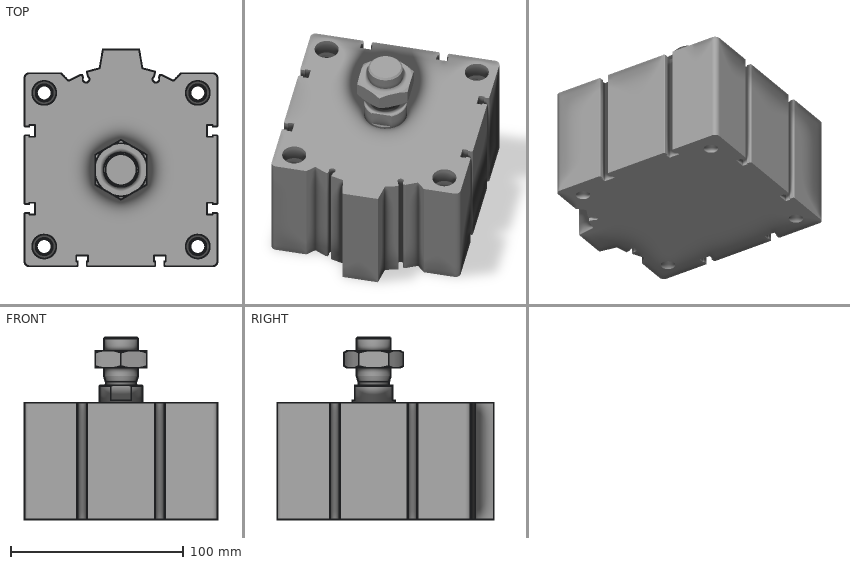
import cadquery as cq
import math

SIDE = 112.2
HALF = SIDE / 2
BLOCK_HEIGHT = 68.0
CORNER_RADIUS = 3.0
OVERALL_DEPTH = 125.9

RIDGE_TIP = (10.6, OVERALL_DEPTH - HALF)
RIDGE_ROOT = (12.5, 58.9)
SHOULDER_END = (20.0, 56.9)
LEDGE_START = (22.3, 55.0)
LEDGE_END = (23.7, 55.0)
NOTCH_BOTTOM = (30.5, 51.6)
NOTCH_TOP = (34.9, HALF)

SENSOR_CENTER = (20.3, 52.5)
SENSOR_DIAMETER = 3.8
SENSOR_MOUTH = 2.9
SENSOR_MOUTH_LENGTH = 6.3
SENSOR_TILT = 15.0

SLOT_OFFSET = 22.5
SLOT_MOUTH = 5.0
SLOT_MOUTH_CHAMFER = 0.5
SLOT_LIP = 2.9
SLOT_WIDTH = 6.7
SLOT_DEPTH = 6.2

HOLE_OFFSET = 44.6
HOLE_DIAMETER = 8.4
COUNTERBORE_DIAMETER = 14.0
COUNTERBORE_DEPTH = 9.5
COUNTERSINK_DIAMETER = 10.1

ROD_DIAMETER = 25.0
ROD_LENGTH = 106.0 - BLOCK_HEIGHT
ROD_SHOULDER = 10.0
ROD_SHOULDER_CHAMFER = 0.4
FLATS_WIDTH = 22.0
FLATS_START = 1.4
GROOVE_DIAMETER = 17.9
GROOVE_FILLET = 0.6
GROOVE_TOP = 12.2
TAPER_DIAMETER = 18.4
TAPER_START = 12.7
TAPER_END = 15.5
THREAD_DIAMETER = 20.0
THREAD_CHAMFER = 1.0

NUT_ACROSS_FLATS = 30.0
NUT_START = 20.1
NUT_THICKNESS = 10.0
NUT_FACE_DIAMETER = 30.7
NUT_CHAMFER_ANGLE = 30.0


def with_mirror(right_side):
    """Extend a chain of points with its mirror image across the Y axis."""
    return right_side + [(-x, y) for x, y in reversed(right_side)]


def block_blank():
    """Square prism with rounded corners and the ridged, notched rear outline."""
    right_side = [
        (HALF, -HALF),
        (HALF, HALF),
        NOTCH_TOP,
        NOTCH_BOTTOM,
        LEDGE_END,
        LEDGE_START,
        SHOULDER_END,
        RIDGE_ROOT,
        RIDGE_TIP,
    ]
    blank = cq.Workplane("XY").polyline(with_mirror(right_side)).close().extrude(BLOCK_HEIGHT)
    return blank.edges("|Z and (<X or >X)").fillet(CORNER_RADIUS)


def t_slot(offset, turn):
    """T-slot cutter in the front side at x = offset, turned about the rod axis by turn degrees."""
    half_mouth = SLOT_MOUTH / 2
    half_width = SLOT_WIDTH / 2
    right_side = [
        (half_mouth + SLOT_MOUTH_CHAMFER, 0),
        (half_mouth, SLOT_MOUTH_CHAMFER),
        (half_mouth, SLOT_LIP),
        (half_width, SLOT_LIP),
        (half_width, SLOT_DEPTH),
    ]
    cutter = cq.Workplane("XY").polyline(with_mirror(right_side)).close().extrude(BLOCK_HEIGHT)
    return cutter.translate((offset, -HALF, 0)).rotate((0, 0, 0), (0, 0, 1), turn)


def sensor_groove():
    """Keyhole groove cutter on the +X side of the ridge."""
    x, y = SENSOR_CENTER
    round_bottom = cq.Workplane("XY").center(x, y).circle(SENSOR_DIAMETER / 2).extrude(BLOCK_HEIGHT)
    mouth = (
        cq.Workplane("XY")
        .center(x, y + SENSOR_MOUTH_LENGTH / 2)
        .rect(SENSOR_MOUTH, SENSOR_MOUTH_LENGTH)
        .extrude(BLOCK_HEIGHT)
        .rotate((x, y, 0), (x, y, 1), -SENSOR_TILT)
    )
    return round_bottom.union(mouth)


def mounting_hole(x, y):
    """Through hole cutter with a counterbore at the top and a 45 degree countersink at its floor."""
    floor = BLOCK_HEIGHT - COUNTERBORE_DEPTH
    sink_depth = (COUNTERSINK_DIAMETER - HOLE_DIAMETER) / 2
    profile = [
        (0, 0),
        (HOLE_DIAMETER / 2, 0),
        (HOLE_DIAMETER / 2, floor - sink_depth),
        (COUNTERSINK_DIAMETER / 2, floor),
        (COUNTERBORE_DIAMETER / 2, floor),
        (COUNTERBORE_DIAMETER / 2, BLOCK_HEIGHT),
        (0, BLOCK_HEIGHT),
    ]
    cutter = cq.Workplane("XZ").polyline(profile).close().revolve(360, (0, 0), (0, 1))
    return cutter.translate((x, y, 0))


def make_housing():
    block = block_blank()
    for turn in (-90, 0, 90):
        for offset in (-SLOT_OFFSET, SLOT_OFFSET):
            block = block.cut(t_slot(offset, turn))
    groove = sensor_groove()
    block = block.cut(groove).cut(groove.mirror("YZ"))
    for x in (-HOLE_OFFSET, HOLE_OFFSET):
        for y in (-HOLE_OFFSET, HOLE_OFFSET):
            block = block.cut(mounting_hole(x, y))
    return block


def make_rod():
    """Stepped rod standing on the block, with a relief groove and two wrench flats."""
    rod_radius = ROD_DIAMETER / 2
    groove_radius = GROOVE_DIAMETER / 2
    thread_radius = THREAD_DIAMETER / 2
    arc_inset = GROOVE_FILLET * (1 - math.sqrt(0.5))
    rod = (
        cq.Workplane("XZ")
        .lineTo(rod_radius, 0)
        .lineTo(rod_radius, ROD_SHOULDER - ROD_SHOULDER_CHAMFER)
        .lineTo(rod_radius - ROD_SHOULDER_CHAMFER, ROD_SHOULDER)
        .lineTo(groove_radius + GROOVE_FILLET, ROD_SHOULDER)
        .threePointArc(
            (groove_radius + arc_inset, ROD_SHOULDER + arc_inset),
            (groove_radius, ROD_SHOULDER + GROOVE_FILLET),
        )
        .lineTo(groove_radius, GROOVE_TOP)
        .lineTo(TAPER_DIAMETER / 2, TAPER_START)
        .lineTo(thread_radius, TAPER_END)
        .lineTo(thread_radius, ROD_LENGTH - THREAD_CHAMFER)
        .lineTo(thread_radius - THREAD_CHAMFER, ROD_LENGTH)
        .lineTo(0, ROD_LENGTH)
        .close()
        .revolve(360, (0, 0), (0, 1))
    )
    seat_height = ROD_SHOULDER - FLATS_START
    outside_flats = (
        cq.Workplane("XY")
        .workplane(offset=FLATS_START)
        .rect(2 * ROD_DIAMETER, 2 * ROD_DIAMETER)
        .rect(2 * ROD_DIAMETER, FLATS_WIDTH)
        .extrude(seat_height)
    )
    return rod.cut(outside_flats).translate((0, 0, BLOCK_HEIGHT))


def make_nut():
    """Hexagon nut with corners on the Y axis, chamfered at both ends."""
    across_corners = NUT_ACROSS_FLATS / math.cos(math.pi / 6)
    hexagon = (
        cq.Workplane("XY")
        .polygon(6, across_corners)
        .extrude(NUT_THICKNESS)
        .rotate((0, 0, 0), (0, 0, 1), 90)
    )
    face_radius = NUT_FACE_DIAMETER / 2
    corner_radius = across_corners / 2
    chamfer_drop = (corner_radius - face_radius) * math.tan(math.radians(NUT_CHAMFER_ANGLE))
    profile = [
        (0, 0),
        (face_radius, 0),
        (corner_radius, chamfer_drop),
        (corner_radius, NUT_THICKNESS - chamfer_drop),
        (face_radius, NUT_THICKNESS),
        (0, NUT_THICKNESS),
    ]
    envelope = cq.Workplane("XZ").polyline(profile).close().revolve(360, (0, 0), (0, 1))
    bore = cq.Workplane("XY").circle(THREAD_DIAMETER / 2).extrude(NUT_THICKNESS)
    return hexagon.intersect(envelope).cut(bore).translate((0, 0, BLOCK_HEIGHT + NUT_START))


housing = make_housing()
rod = make_rod()
nut = make_nut()
result = cq.Compound.makeCompound([housing.val(), rod.val(), nut.val()])